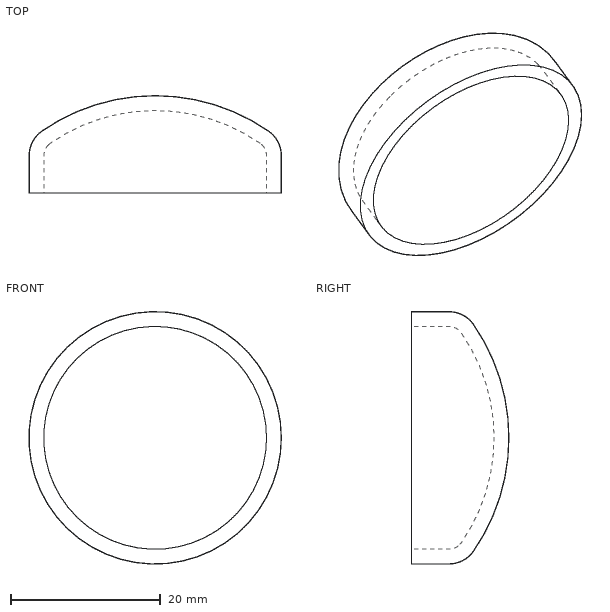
import cadquery as cq
import math

outer_radius = 16.85
total_height = 13.0
skirt_height = 5.0
wall = 2.0
knuckle_radius = 4.0

knuckle_center_x = outer_radius - knuckle_radius
crown_height = total_height - skirt_height
dome_radius = (knuckle_center_x**2 + crown_height**2 - knuckle_radius**2) / (
    2 * (crown_height - knuckle_radius)
)
dome_center_y = total_height - dome_radius

joint_angle = math.atan2(skirt_height - dome_center_y, knuckle_center_x)


def knuckle_point(radius, angle):
    return (
        knuckle_center_x + radius * math.cos(angle),
        skirt_height + radius * math.sin(angle),
    )


def dome_point(radius, angle):
    return (radius * math.cos(angle), dome_center_y + radius * math.sin(angle))


def solid_cap(inset):
    """Solid of revolution whose surface lies `inset` inside the outer surface."""
    knuckle = knuckle_radius - inset
    dome = dome_radius - inset
    side = outer_radius - inset
    dome_middle_angle = (joint_angle + math.pi / 2) / 2
    return (
        cq.Workplane("XY")
        .lineTo(side, 0)
        .lineTo(side, skirt_height)
        .threePointArc(knuckle_point(knuckle, joint_angle / 2), knuckle_point(knuckle, joint_angle))
        .threePointArc(dome_point(dome, dome_middle_angle), (0, total_height - inset))
        .close()
        .revolve(360, (0, 0, 0), (0, 1, 0))
    )


result = solid_cap(0).cut(solid_cap(wall))